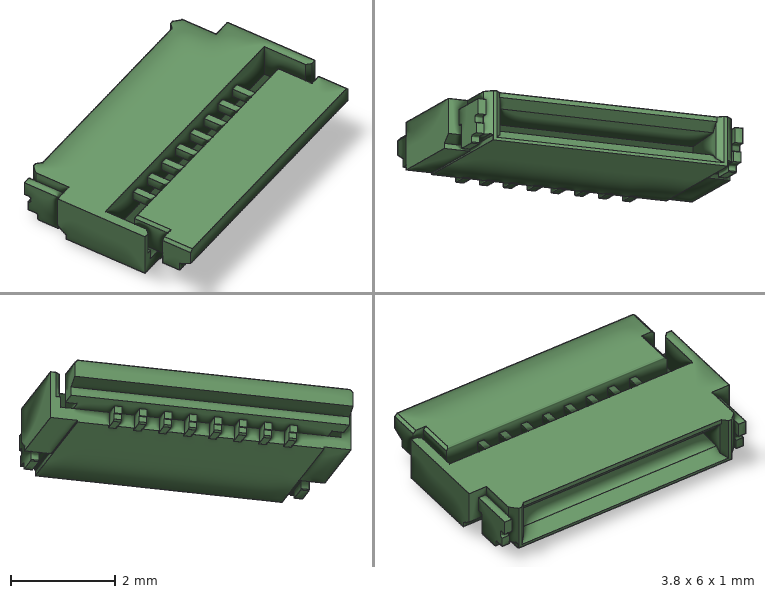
import cadquery as cq


total_length = 3.8
total_width = 6.0
total_height = 1.0

housing_end_x = 2.9
shoulder_x = 0.9
nose_half_width = 2.6
nose_corner_chamfer = 0.145
base_half_width = 2.465
housing_base_z = 0.02
base_step_z = 0.15
base_step_chamfer = 0.03
shoulder_base_z = 0.055
shoulder_cut_x = 1.1
shoulder_cut_low_z = 0.155
shoulder_cut_high_z = 0.305

mouth_half_width = 2.383
mouth_flare = 0.12
pocket_half_width = mouth_half_width - mouth_flare
pocket_depth = 1.2
mouth_base_z = 0.08
floor_front = (0.24, 0.275)
floor_back_z = 0.31
ceiling_back_z = 0.67
ceiling_front = (0.25, 0.72)
lip_x = 0.1
lip_base_z = 0.905

recess_x = 1.87
recess_half_width = 2.8
recess_floor_z = 0.29
wall_end_chamfer = 0.09
wall_end_chamfer_base_z = 0.5

latch_x = 2.37
latch_ear_x = 3.16
latch_half_width = 2.545
latch_ear_half_width = 2.78
latch_top_z = 0.925
latch_front_round = 0.055
latch_side_bevel = 0.058
latch_heel_x = 3.55
latch_heel_z = 0.46
latch_tip_z = 0.585

contact_count = 8
contact_pitch = 0.5
contact_width = 0.15
contact_top_z = 0.76
contact_thickness = 0.19
tail_x = 2.83
tail_end_x = 3.25
tail_step_x = 3.21
tail_step_z = 0.145
tail_toe_chamfer = 0.035

tab_inner_y = 2.615
tab_outer_y = 2.78
tab_root_x = 1.0
tab_top_z = 0.805
tab_notch_top_z = 0.505
tab_notch_base_z = 0.355
tab_notch_x = 0.145
tab_notch_round = 0.04
tab_nub_x = 0.085
tab_nub_base_z = 0.15
tab_foot_start_x = 0.305
tab_foot_end_x = 0.79
tab_foot_chamfer = 0.02
tab_toe_round = 0.04
tab_neck_z = 0.49
tab_neck_round = 0.03


def box(x_range, y_range, z_range):
    """Axis-aligned block between the given limits."""
    size = [high - low for low, high in (x_range, y_range, z_range)]
    corner = (x_range[0], y_range[0], z_range[0])
    return cq.Workplane("XY").box(*size, centered=False).translate(corner)


def side_plate(outline, y_low, y_high):
    """Extrude a closed XZ outline between two Y positions."""
    plane = cq.Workplane("XZ", origin=(0, y_high, 0))
    return plane.polyline(outline).close().extrude(y_high - y_low)


def plan_plate(half_outline, z_low, z_high):
    """Extrude an XY outline, given for Y > 0 and mirrored about Y = 0."""
    mirrored = [(x, -y) for x, y in reversed(half_outline)]
    plane = cq.Workplane("XY", origin=(0, 0, z_low))
    return plane.polyline(half_outline + mirrored).close().extrude(z_high - z_low)


def both_sides(shape):
    """The shape together with its mirror image about Y = 0."""
    return shape.union(shape.mirror("XZ"))


def make_nose():
    """Central housing block with stepped lower sides and chamfered front corners."""
    step_top = base_half_width + base_step_chamfer
    half_section = [
        (base_half_width, housing_base_z),
        (base_half_width, base_step_z - base_step_chamfer),
        (step_top, base_step_z),
        (nose_half_width, base_step_z),
        (nose_half_width, total_height),
    ]
    mirrored = [(-y, z) for y, z in reversed(half_section)]
    section = cq.Workplane("YZ").polyline(half_section + mirrored).close().extrude(housing_end_x)
    plan = plan_plate(
        [
            (0, nose_half_width - nose_corner_chamfer),
            (nose_corner_chamfer, nose_half_width),
            (housing_end_x, nose_half_width),
        ],
        0,
        total_height,
    )
    return section.intersect(plan)


def make_shoulders():
    """Full-width side blocks, relieved at the lower front corner."""
    outline = [
        (shoulder_x, total_height),
        (shoulder_x, shoulder_cut_high_z),
        (shoulder_cut_x, shoulder_cut_low_z),
        (shoulder_cut_x, shoulder_base_z),
        (housing_end_x, shoulder_base_z),
        (housing_end_x, total_height),
    ]
    return both_sides(side_plate(outline, base_half_width, total_width / 2))


def make_cable_pocket():
    """Tapered cable cavity with a flared mouth that breaks through the top front edge."""
    profile = [
        (0, mouth_base_z),
        floor_front,
        (pocket_depth, floor_back_z),
        (pocket_depth, ceiling_back_z),
        ceiling_front,
        (lip_x, lip_base_z),
        (lip_x, total_height),
        (0, total_height),
    ]
    plan = [
        (0, mouth_half_width),
        (mouth_flare, pocket_half_width),
        (pocket_depth, pocket_half_width),
    ]
    cavity = side_plate(profile, -mouth_half_width, mouth_half_width)
    return cavity.intersect(plan_plate(plan, 0, total_height))


def make_latch_recess():
    """Open-ended recess for the latch, widened at the upper ends of its side walls."""
    recess = box(
        (recess_x, housing_end_x),
        (-recess_half_width, recess_half_width),
        (recess_floor_z, total_height),
    )
    wall_ends = plan_plate(
        [
            (housing_end_x - wall_end_chamfer, recess_half_width),
            (housing_end_x, recess_half_width + wall_end_chamfer),
        ],
        wall_end_chamfer_base_z,
        total_height,
    )
    return recess.union(wall_ends)


def make_latch_strip(half_width, x_low):
    """Straight strip of latch from x_low to the rear, with both upper side edges bevelled."""
    strip = box((x_low, total_length), (-half_width, half_width), (recess_floor_z, latch_top_z))
    return strip.edges("|X and >Z").chamfer(latch_side_bevel)


def make_latch():
    """Flip latch: T-shaped plate with a stepped, sloping rear and a rounded front top edge."""
    outline = [
        (latch_x, recess_floor_z),
        (latch_heel_x, recess_floor_z),
        (latch_heel_x, latch_heel_z),
        (total_length, latch_tip_z),
        (total_length, latch_top_z),
        (latch_x, latch_top_z),
    ]
    profile = side_plate(outline, -latch_ear_half_width, latch_ear_half_width)
    profile = profile.edges("|Y and <X and >Z").fillet(latch_front_round)
    plate = make_latch_strip(latch_half_width, latch_x)
    ears = make_latch_strip(latch_ear_half_width, latch_ear_x)
    return plate.union(ears).intersect(profile)


def make_contact(center_y):
    """One contact: a beam across the recess and a solder tail under the latch."""
    y_range = (center_y - contact_width / 2, center_y + contact_width / 2)
    beam = box((recess_x, latch_x), y_range, (contact_top_z - contact_thickness, contact_top_z))
    tail_outline = [
        (tail_x, 0),
        (tail_step_x - tail_toe_chamfer, 0),
        (tail_step_x, tail_toe_chamfer),
        (tail_step_x, tail_step_z),
        (tail_end_x, tail_step_z),
        (tail_end_x, recess_floor_z),
        (tail_x, recess_floor_z),
    ]
    return beam.union(side_plate(tail_outline, *y_range))


def make_solder_tabs():
    """Upright solder tabs beside the nose, notched at the front and footed on the board."""
    plate = box((0, tab_root_x), (tab_inner_y, tab_outer_y), (0, tab_top_z))
    y_range = (tab_inner_y, tab_outer_y)
    notch = box((0, tab_notch_x), y_range, (tab_notch_base_z, tab_notch_top_z))
    notch = notch.edges("|Y and >X").fillet(tab_notch_round)
    nub_front = box((0, tab_nub_x), y_range, (0, tab_notch_base_z))
    toe = box((0, tab_foot_start_x), y_range, (0, tab_nub_base_z))
    toe = toe.edges("|Y and >X and >Z").fillet(tab_toe_round)
    neck = box((tab_foot_end_x, tab_root_x), y_range, (0, tab_neck_z))
    neck = neck.edges("|Y and <X and >Z").fillet(tab_neck_round)
    tab = plate.cut(notch).cut(nub_front).cut(toe).cut(neck)
    tab = tab.edges("|Y and <Z").chamfer(tab_foot_chamfer)
    return both_sides(tab)


housing = make_nose().union(make_shoulders())
housing = housing.cut(make_cable_pocket()).cut(make_latch_recess())

result = housing.union(make_latch()).union(make_solder_tabs())
for index in range(contact_count):
    contact_y = (index - (contact_count - 1) / 2) * contact_pitch
    result = result.union(make_contact(contact_y))